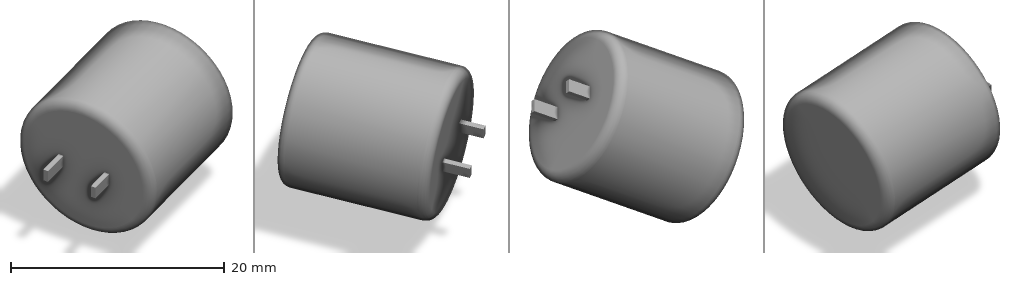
import cadquery as cq

overall_length = 17.7
body_diameter = 15.0
body_length = 15.0
rim_radius = 0.95
pin_spacing = 5.08
pin_width = 0.5
pin_height = 1.3
short_pin_setback = 0.3

long_pin_length = overall_length - body_length
short_pin_length = long_pin_length - short_pin_setback
pin_embed = rim_radius


def make_body():
    """Cylinder along Y with rounded rims; its pin face lies at Y = 0."""
    cylinder = cq.Workplane("XZ").circle(body_diameter / 2).extrude(-body_length)
    return cylinder.edges("%CIRCLE").fillet(rim_radius)


def make_pin(x_center, length):
    """Flat pin that stands out of the pin face towards -Y."""
    return (
        cq.Workplane("XZ", origin=(x_center, pin_embed, 0))
        .rect(pin_width, pin_height)
        .extrude(length + pin_embed)
    )


long_pin = make_pin(-pin_spacing / 2, long_pin_length)
short_pin = make_pin(pin_spacing / 2, short_pin_length)

result = make_body().union(long_pin).union(short_pin)